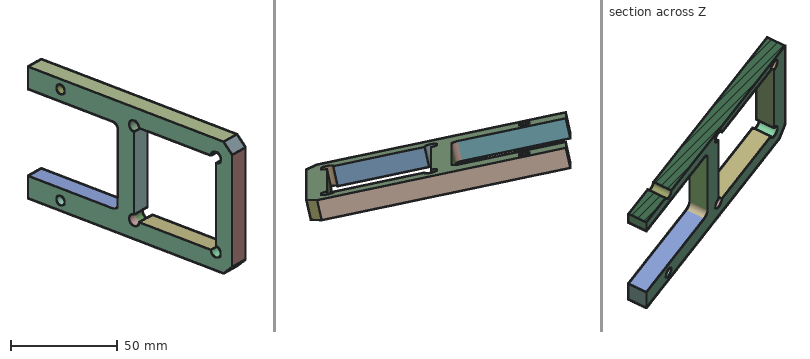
import cadquery as cq

length = 125.0
thickness = 10.0
height = 70.0
corner_chamfer = 5.2

arm_height = 12.0
slot_depth = 55.0
slot_height = height - 2 * arm_height
slot_fillet = 3.0

window_side = 50.0
end_wall = 10.0
window_center_x = length - end_wall - window_side / 2
relief_diameter = 6.0

arm_hole_x = 20.0
arm_hole_spacing = 59.0
arm_hole_diameter = 5.0


def through_prism(size_x, size_z, center_x):
    """Box through the plate thickness, centred on the plate's mid height."""
    return cq.Workplane("XY").box(size_x, thickness, size_z).translate((center_x, 0, 0))


def through_holes(points, diameter):
    """Round cutters along Y at the given (x, z) points."""
    return (
        cq.Workplane("XZ")
        .pushPoints(points)
        .circle(diameter / 2)
        .extrude(thickness / 2, both=True)
    )


plate = through_prism(length, height, length / 2)
plate = plate.edges("|Y and >X").chamfer(corner_chamfer)

slot = through_prism(slot_depth, slot_height, slot_depth / 2)
slot = slot.edges("|Y and >X").fillet(slot_fillet)

window = through_prism(window_side, window_side, window_center_x)
window_corners = [
    (window_center_x + x_side * window_side / 2, z_side * window_side / 2)
    for x_side in (-1, 1)
    for z_side in (-1, 1)
]
reliefs = through_holes(window_corners, relief_diameter)

arm_hole_points = [(arm_hole_x, side * arm_hole_spacing / 2) for side in (-1, 1)]
arm_holes = through_holes(arm_hole_points, arm_hole_diameter)

result = plate.cut(slot).cut(window).cut(reliefs).cut(arm_holes)